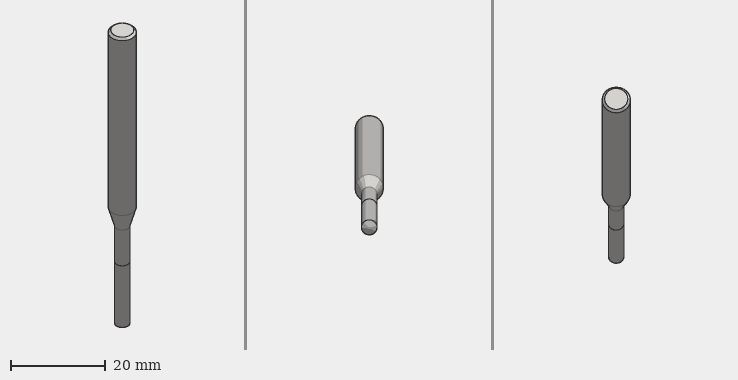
import cadquery as cq

total_length = 78.6
tip_height = 0.6
cutter_top = 17.05
neck_top = 26.6
shank_bottom = 31.5

shank_diameter = 6.0
neck_diameter = 3.3
cutter_diameter = neck_diameter

shank_chamfer = 0.55

shank_radius = shank_diameter / 2
neck_radius = neck_diameter / 2
cutter_radius = cutter_diameter / 2

tip_z = -total_length / 2


def turned_body(profile):
    """Revolve a closed (radius, height above tip) profile about the Z axis."""
    outline = cq.Workplane("XZ", origin=(0, 0, tip_z)).polyline(profile).close()
    return outline.revolve(360, (0, 0), (0, 1))


def make_shank():
    """Chamfered shank that tapers down to a slender neck."""
    return turned_body([
        (0, cutter_top),
        (neck_radius, cutter_top),
        (neck_radius, neck_top),
        (shank_radius, shank_bottom),
        (shank_radius, total_length - shank_chamfer),
        (shank_radius - shank_chamfer, total_length),
        (0, total_length),
    ])


def make_cutter():
    """Cylindrical cutting end with a shallow conical point."""
    return turned_body([
        (0, 0),
        (cutter_radius, tip_height),
        (cutter_radius, cutter_top),
        (0, cutter_top),
    ])


shank = make_shank()
cutter = make_cutter()

result = cq.Compound.makeCompound([shank.val(), cutter.val()])